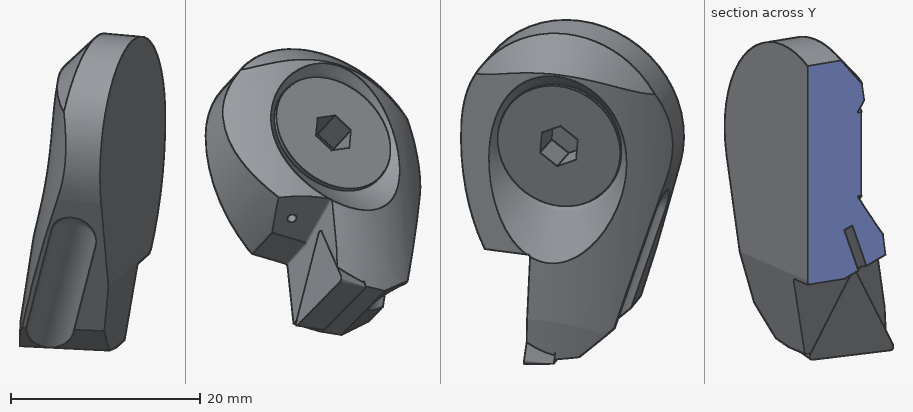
import cadquery as cq
import math



def tan(angle):
    return math.tan(math.radians(angle))


def sin(angle):
    return math.sin(math.radians(angle))


def cos(angle):
    return math.cos(math.radians(angle))


INSERT_EDGE = 11.0
NOSE_RADIUS = 0.4
INSERT_THICKNESS = 3.18
INSERT_RELIEF = 7.0
INSERT_TILT = 2.0
TIP_X = -12.5
TIP_Z = -23.0
RAKE_Y = 2.05

DISC_RADIUS = 11.74
FLANK_RADIUS = 19.0
FLANK_ARC_END_ANGLE = -60.0
FLANK_ANGLE = 15.0
BOTTOM_Z = 2 * TIP_Z
ARM_END_CHAMFER_TOP_Z = -18.25
ARM_END_CORNER = (-3.72, -21.42)
ARM_END_RELIEF = 9.0

BLANK_DEPTH = 14.0
BACK_RELIEF_TOP_Z = -12.95
BACK_RELIEF_ANGLE = 9.6
FRONT_RADIUS = 17.0
FRONT_TILT = 8.75
FRONT_BREAK = (-11.53, -18.07)
TIP_FRONT_RADIUS = 18.7
TIP_FRONT_TILT = 2.9
BEVEL_CENTRE_Z = -1.0
BEVEL_START_X = -4.1

LEDGE_BACK_X = -4.6
LEDGE_BACK_Z = -13.42
LEDGE_ANGLE = 20.5
NOTCH_FILLET = 0.3
COOLANT_DIAMETER = 1.0
COOLANT_Y = 5.0
COOLANT_X = -6.85
COOLANT_DEPTH = 5.0

SCREW_RADIUS = 13.6 / 2
SCREW_FACE_X = -6.75
SEAT_RADIUS = 7.3
SEAT_X = SCREW_FACE_X
SEAT_STEP_DEPTH = 0.5
RECESS_ANGLE = 50.0
HEX_ACROSS_FLATS = 4.0
HEX_TURN = 4.7
HEX_DEPTH = 4.0

GROOVE_RADIUS = 2.5
GROOVE_END_X = -3.42
GROOVE_END_Z = -7.49
GROOVE_LEAN = 17.5

FAR = 60.0


def flank_y(z):
    """Y of the straight -Y side at height z."""
    tangent_y = -DISC_RADIUS * cos(FLANK_ANGLE)
    tangent_z = -DISC_RADIUS * sin(FLANK_ANGLE)
    return tangent_y + (tangent_z - z) * tan(FLANK_ANGLE)


def half_space(point, normal, x_dir):
    """Large block on the side of a plane that its normal points to."""
    return cq.Workplane(cq.Plane(point, x_dir, normal)).rect(2 * FAR, 2 * FAR).extrude(FAR)


def revolve_about_x(points):
    """Solid turned about the X axis from (x, radius) points."""
    return cq.Workplane("XY").polyline(points).close().revolve(360, (0, 0, 0), (1, 0, 0))


def make_blank():
    """Disc and arm outline extruded along -X."""
    arc_centre_y = DISC_RADIUS - FLANK_RADIUS
    arc_mid_angle = FLANK_ARC_END_ANGLE / 2
    arc_end_y = arc_centre_y + FLANK_RADIUS * cos(FLANK_ARC_END_ANGLE)
    flank_arc_mid = (arc_centre_y + FLANK_RADIUS * cos(arc_mid_angle), FLANK_RADIUS * sin(arc_mid_angle))
    flank_arc_end = (arc_end_y, FLANK_RADIUS * sin(FLANK_ARC_END_ANGLE))
    tangent_point = (-DISC_RADIUS * cos(FLANK_ANGLE), -DISC_RADIUS * sin(FLANK_ANGLE))
    return (
        cq.Workplane("YZ")
        .moveTo(*tangent_point)
        .threePointArc((0, DISC_RADIUS), (DISC_RADIUS, 0))
        .threePointArc(flank_arc_mid, flank_arc_end)
        .lineTo(arc_end_y, BOTTOM_Z)
        .lineTo(flank_y(BOTTOM_Z), BOTTOM_Z)
        .close()
        .extrude(-BLANK_DEPTH)
    )


def arm_end_waste():
    """Material below the arm's corner chamfer and relieved end, both tilted like the insert."""
    corner_y, corner_z = ARM_END_CORNER
    chamfer_y = flank_y(ARM_END_CHAMFER_TOP_Z)
    slope = (ARM_END_CHAMFER_TOP_Z - corner_z) / (corner_y - chamfer_y)
    seat_y = RAKE_Y - INSERT_THICKNESS
    end_z = corner_z - (seat_y - corner_y) * tan(ARM_END_RELIEF)
    points = [
        (chamfer_y - FAR, ARM_END_CHAMFER_TOP_Z + FAR * slope),
        ARM_END_CORNER,
        (seat_y, end_z),
        (FAR, end_z),
        (FAR, -2 * FAR),
        (chamfer_y - FAR, -2 * FAR),
    ]
    tilted = cq.Plane((0, 0, 0), (0, 1, 0), (cos(INSERT_TILT), 0, sin(INSERT_TILT)))
    return cq.Workplane(tilted).polyline(points).close().extrude(FAR, both=True)


def front_cylinder(radius, tilt):
    """Cylinder along the arm whose foremost line passes through the front break point."""
    break_x, break_z = FRONT_BREAK
    normal = (sin(tilt), 0, cos(tilt))
    origin = (break_x + radius * cos(tilt), 0, break_z - radius * sin(tilt))
    return cq.Workplane(cq.Plane(origin, (0, 1, 0), normal)).circle(radius).extrude(FAR, both=True)


def bevel_waste():
    """Material outside the 45 degree cone that bevels the upper half of the disc."""
    base_radius = DISC_RADIUS - BEVEL_CENTRE_Z - BEVEL_START_X
    cone = revolve_about_x([(0, 0), (0, base_radius), (-base_radius, 0)])
    cone = cone.translate((0, 0, BEVEL_CENTRE_Z))
    return half_space((0, 0, 0), (0, 0, 1), (1, 0, 0)).cut(cone)


def back_relief_waste():
    """Material behind the arm's inclined back."""
    normal = (cos(BACK_RELIEF_ANGLE), 0, -sin(BACK_RELIEF_ANGLE))
    return half_space((0, 0, BACK_RELIEF_TOP_Z), normal, (0, 1, 0))


def notch():
    """Space in front of the rake face, below the level and sloping parts of the ledge."""
    slope_end_z = LEDGE_BACK_Z + (FAR + LEDGE_BACK_X) * tan(LEDGE_ANGLE)
    points = [
        (FAR, LEDGE_BACK_Z),
        (LEDGE_BACK_X, LEDGE_BACK_Z),
        (-FAR, slope_end_z),
        (-FAR, -FAR),
        (FAR, -FAR),
    ]
    space = cq.Workplane("XZ", origin=(0, RAKE_Y, 0)).polyline(points).close().extrude(-FAR)
    ledge_edges = cq.selectors.BoxSelector((-FAR, -FAR, LEDGE_BACK_Z - NOTCH_FILLET), (FAR, FAR, FAR))
    return space.faces("<Y").edges(ledge_edges).fillet(NOTCH_FILLET)


def coolant_hole():
    """Blind hole square to the ledge."""
    ledge_z = LEDGE_BACK_Z + (LEDGE_BACK_X - COOLANT_X) * tan(LEDGE_ANGLE)
    into_ledge = (sin(LEDGE_ANGLE), 0, cos(LEDGE_ANGLE))
    mouth = cq.Plane((COOLANT_X, COOLANT_Y, ledge_z), (0, 1, 0), into_ledge)
    return cq.Workplane(mouth).circle(COOLANT_DIAMETER / 2).extrude(COOLANT_DEPTH)


def screw_recess():
    """Conical recess with a narrow tapered gap around the raised screw head."""
    mouth_radius = SEAT_RADIUS + tan(RECESS_ANGLE) * (BLANK_DEPTH + SEAT_X)
    gap_bottom_x = SEAT_X + SEAT_STEP_DEPTH
    return revolve_about_x([
        (-BLANK_DEPTH, 0),
        (-BLANK_DEPTH, mouth_radius),
        (SEAT_X, SEAT_RADIUS),
        (gap_bottom_x, SCREW_RADIUS),
        (SCREW_FACE_X, SCREW_RADIUS),
        (SCREW_FACE_X, 0),
    ])


def hex_socket():
    """Blind hexagon in the screw head, which is one piece with the holder."""
    corner_diameter = HEX_ACROSS_FLATS / cos(30)
    socket = cq.Workplane("YZ", origin=(SCREW_FACE_X, 0, 0)).polygon(6, corner_diameter).extrude(HEX_DEPTH)
    return socket.rotate((0, 0, 0), (1, 0, 0), 30 + HEX_TURN)


def flank_groove():
    """Ball-ended groove whose centreline lies on the straight -Y flank."""
    end = cq.Vector(GROOVE_END_X, flank_y(GROOVE_END_Z), GROOVE_END_Z)
    downwards = cq.Vector(-tan(GROOVE_LEAN), tan(FLANK_ANGLE), -1)
    channel = cq.Solid.makeCylinder(GROOVE_RADIUS, FAR, end, downwards)
    ball = cq.Workplane("XY").sphere(GROOVE_RADIUS).translate(end)
    return ball.union(cq.Workplane(channel))


def make_insert():
    """Triangular insert, narrowing from the rake face by its relief angle."""
    nose_spacing = INSERT_EDGE - 2 * NOSE_RADIUS / tan(30)
    first_nose = (TIP_X + NOSE_RADIUS, TIP_Z + NOSE_RADIUS)
    rake_face = cq.Plane((first_nose[0], RAKE_Y, first_nose[1]), (1, 0, 0), (0, -1, 0))
    noses = [
        (0, 0),
        (nose_spacing * cos(INSERT_TILT), nose_spacing * sin(INSERT_TILT)),
        (nose_spacing * cos(INSERT_TILT + 60), nose_spacing * sin(INSERT_TILT + 60)),
    ]
    return (
        cq.Workplane(rake_face)
        .polyline(noses)
        .close()
        .offset2D(NOSE_RADIUS)
        .extrude(INSERT_THICKNESS, taper=INSERT_RELIEF)
    )


def make_holder(insert):
    """Shaped disc and arm with a seat that fits the insert."""
    body = make_blank().cut(arm_end_waste()).cut(back_relief_waste())
    body = body.intersect(front_cylinder(FRONT_RADIUS, FRONT_TILT))
    body = body.intersect(front_cylinder(TIP_FRONT_RADIUS, TIP_FRONT_TILT))
    body = body.cut(bevel_waste()).cut(notch()).cut(coolant_hole())
    body = body.cut(screw_recess()).cut(hex_socket()).cut(flank_groove())
    return body.cut(insert)


insert = make_insert()
holder = make_holder(insert)

result = cq.Compound.makeCompound([holder.val(), insert.val()])